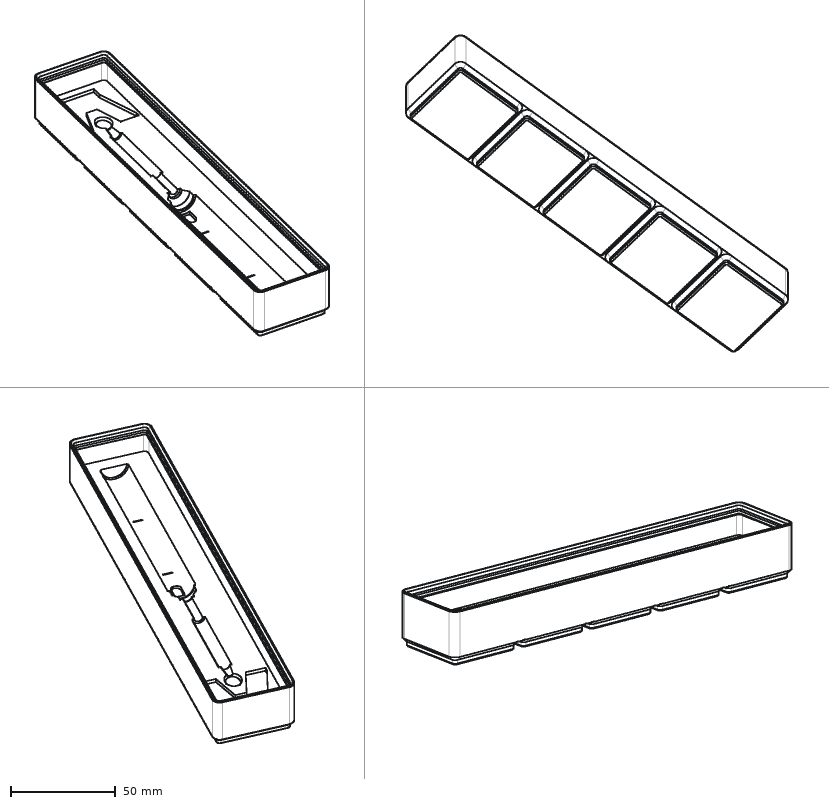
import cadquery as cq
length = 209.5
width = 41.5
height = 28.0
corner_radius = 3.8

bevel_angle = 45

foot_count = 5
foot_gap = 0.5
foot_pitch = (length + foot_gap) / foot_count
foot_length = foot_pitch - foot_gap
foot_upper_taper = 2.0
foot_straight = 1.8
foot_lower_taper = 0.8
foot_height = foot_upper_taper + foot_straight + foot_lower_taper

rim_chamfer = 0.52
rim_flat = 0.25
lip_upper_taper = 1.13
lip_straight = 1.8
lip_lower_taper = 0.7
lip_throat = 1.36
lip_inset = rim_chamfer + rim_flat + lip_upper_taper + lip_lower_taper

floor_z = 12.0
wall_thickness = 1.7

fork_depth = 1.9
fork_back_x = -99.0
fork_shoulder_x = -93.6
fork_back_half_width = 10.3
fork_flare_x = -71.6
fork_tip_x = -69.3
fork_tip_half_width = 17.5
fork_notch_x = -83.8
fork_notch_half_width = 3.0
fork_mouth_half_width = 7.5

eye_x = -72.7
eye_length = 9.6
eye_width = 8.4
eye_draft = 0.6
eye_depth = 1.5

neck_start_x = -68.3
neck_start_radius = 3.0 / 2
neck_end_radius = 2.3
stem_radius = 2.0
sleeve_start_x = -61.4
sleeve_radius = 6.5 / 2
sleeve_end_x = -23.5
collar_start_x = -7.5
collar_flat = 1.5
collar_small_radius = 3.5
collar_cone_end_x = -3.1
collar_radius = 6.0
handle_start_x = 0.2
handle_radius = 7.1
handle_end_x = 96.8
handle_chamfer = 0.6

button_start_x = 3.0
button_end_x = 10.9
button_width = 5.0
button_depth = 1.3


def rounded_block(size_x, size_y, radius, bottom_z, block_height, taper=0):
    """Corner-rounded block; a positive taper angle narrows it upwards, a negative one widens it."""
    return (
        cq.Workplane("XY", origin=(0, 0, bottom_z))
        .sketch()
        .rect(size_x, size_y)
        .vertices()
        .fillet(radius)
        .finalize()
        .extrude(block_height, taper=taper)
    )


def inset_block(inset, bottom_z, block_height, taper=0):
    """Block with the tray outline moved inwards by the inset."""
    return rounded_block(
        length - 2 * inset, width - 2 * inset, corner_radius - inset, bottom_z, block_height, taper
    )


def foot():
    """One foot: taper, straight band, taper, from the underside up."""
    straight_length = foot_length - 2 * foot_upper_taper
    straight_width = width - 2 * foot_upper_taper
    straight_radius = corner_radius - foot_upper_taper
    lower = rounded_block(
        straight_length - 2 * foot_lower_taper,
        straight_width - 2 * foot_lower_taper,
        straight_radius - foot_lower_taper,
        0,
        foot_lower_taper,
        -bevel_angle,
    )
    middle = rounded_block(
        straight_length, straight_width, straight_radius, foot_lower_taper, foot_straight
    )
    upper = rounded_block(
        straight_length,
        straight_width,
        straight_radius,
        foot_lower_taper + foot_straight,
        foot_upper_taper,
        -bevel_angle,
    )
    return lower.union(middle).union(upper)


def cavity():
    """Open space above the cavity floor, narrowed at the throat under the stacking lip."""
    upper_taper_z = height - lip_upper_taper
    straight_z = upper_taper_z - lip_straight
    lower_taper_z = straight_z - lip_lower_taper
    straight_inset = lip_inset - lip_lower_taper
    throat_z = lower_taper_z - lip_throat
    overhang = lip_inset - wall_thickness
    overhang_z = throat_z - overhang
    space = inset_block(wall_thickness, floor_z, overhang_z - floor_z)
    space = space.union(inset_block(wall_thickness, overhang_z, overhang, bevel_angle))
    space = space.union(inset_block(lip_inset, throat_z, lip_throat))
    space = space.union(inset_block(lip_inset, lower_taper_z, lip_lower_taper, -bevel_angle))
    space = space.union(inset_block(straight_inset, straight_z, lip_straight))
    return space.union(inset_block(straight_inset, upper_taper_z, lip_upper_taper, -bevel_angle))


def fork_recess():
    """Flat-bottomed V-shaped recess, symmetric about the XZ plane."""
    upper_half = [
        (fork_back_x, fork_back_half_width),
        (fork_shoulder_x, fork_back_half_width),
        (fork_flare_x, fork_tip_half_width),
        (fork_tip_x, fork_tip_half_width),
        (fork_tip_x, fork_mouth_half_width),
        (fork_notch_x, fork_notch_half_width),
    ]
    lower_half = [(x, -y) for x, y in reversed(upper_half)]
    return (
        cq.Workplane("XY", origin=(0, 0, floor_z))
        .polyline(upper_half + lower_half)
        .close()
        .extrude(-fork_depth)
    )


def eye_recess():
    """Oval recess with sloping walls and a flat bottom."""
    return (
        cq.Workplane("XY", origin=(eye_x, 0, floor_z))
        .ellipse(eye_length / 2, eye_width / 2)
        .workplane(offset=-eye_depth)
        .ellipse(eye_length / 2 - eye_draft, eye_width / 2 - eye_draft)
        .loft()
    )


def tool_groove():
    """Turned tool outline revolved about its axis on the floor."""
    profile = [
        (neck_start_x, 0),
        (neck_start_x, neck_start_radius),
        (sleeve_start_x, neck_end_radius),
        (sleeve_start_x, sleeve_radius),
        (sleeve_end_x, sleeve_radius),
        (sleeve_end_x, stem_radius),
        (collar_start_x, stem_radius),
        (collar_start_x, collar_small_radius),
        (collar_start_x + collar_flat, collar_small_radius),
        (collar_cone_end_x, collar_radius),
        (handle_start_x, collar_radius),
        (handle_start_x, handle_radius - handle_chamfer),
        (handle_start_x + handle_chamfer, handle_radius),
        (handle_end_x - handle_chamfer, handle_radius),
        (handle_end_x, handle_radius - handle_chamfer),
        (handle_end_x, 0),
    ]
    return (
        cq.Workplane("XY", origin=(0, 0, floor_z))
        .polyline(profile)
        .close()
        .revolve(360, (0, 0, 0), (1, 0, 0))
    )


def button_pocket():
    """Flat-bottomed pocket, square at the collar end and round at the other."""
    half_width = button_width / 2
    arc_start_x = button_end_x - half_width
    return (
        cq.Workplane("XY", origin=(0, 0, floor_z))
        .moveTo(button_start_x, -half_width)
        .lineTo(arc_start_x, -half_width)
        .threePointArc((button_end_x, 0), (arc_start_x, half_width))
        .lineTo(button_start_x, half_width)
        .close()
        .extrude(-(handle_radius + button_depth))
    )


def tray_body():
    """Solid tray above the feet, with the outer rim edge chamfered."""
    body = inset_block(0, foot_height, height - foot_height)
    return body.faces(">Z").edges().chamfer(rim_chamfer)


result = tray_body()
for index in range(foot_count):
    foot_x = (index - (foot_count - 1) / 2) * foot_pitch
    result = result.union(foot().translate((foot_x, 0, 0)))

for hollow in (cavity(), fork_recess(), eye_recess(), tool_groove(), button_pocket()):
    result = result.cut(hollow)